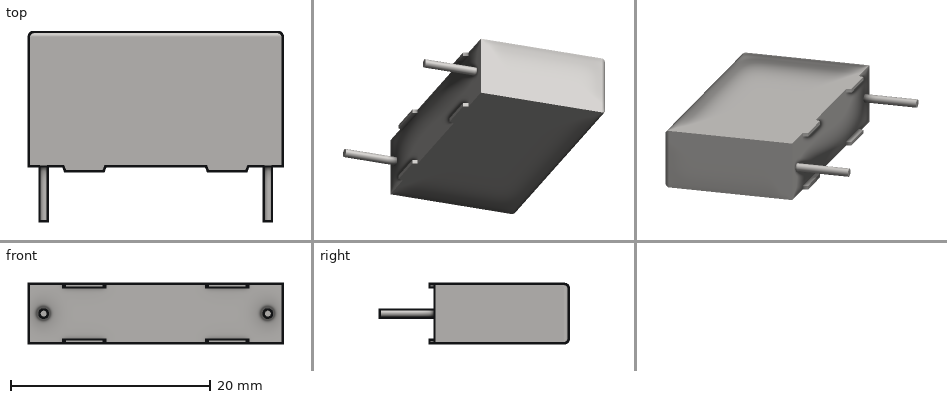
import cadquery as cq

CASE_LENGTH = 25.5
CASE_HEIGHT = 6.0
OVERALL_DEPTH = 19.0
LEAD_PROTRUSION = 5.5
CASE_DEPTH = OVERALL_DEPTH - LEAD_PROTRUSION

BACK_FILLET = 0.5

TAB_SPACING = 14.33
TAB_ROOT_WIDTH = 4.23
TAB_TIP_WIDTH = 3.88
TAB_PROTRUSION = 0.5
TAB_THICKNESS = 0.38

LEAD_PITCH = 22.5
LEAD_DIAMETER = 0.85


def make_tab(center_x, bottom_z):
    """Flat standoff tab, a trapezoid narrowing away from the front face at Y = 0."""
    half_root = TAB_ROOT_WIDTH / 2
    half_tip = TAB_TIP_WIDTH / 2
    return (
        cq.Workplane("XY", origin=(center_x, 0, bottom_z))
        .moveTo(-half_root, 0)
        .lineTo(-half_tip, -TAB_PROTRUSION)
        .lineTo(half_tip, -TAB_PROTRUSION)
        .lineTo(half_root, 0)
        .close()
        .extrude(TAB_THICKNESS)
    )


def make_case():
    """Box with a rounded back face and four standoff tabs at the front."""
    case = (
        cq.Workplane("XY")
        .box(CASE_LENGTH, CASE_DEPTH, CASE_HEIGHT, centered=(True, False, True))
        .faces(">Y")
        .edges()
        .fillet(BACK_FILLET)
    )
    lower_tab_z = -CASE_HEIGHT / 2
    upper_tab_z = CASE_HEIGHT / 2 - TAB_THICKNESS
    for center_x in (-TAB_SPACING / 2, TAB_SPACING / 2):
        for bottom_z in (lower_tab_z, upper_tab_z):
            case = case.union(make_tab(center_x, bottom_z))
    return case


def make_lead(center_x):
    """Round wire standing straight out of the front face, halfway up the case."""
    return (
        cq.Workplane("XZ", origin=(center_x, 0, 0))
        .circle(LEAD_DIAMETER / 2)
        .extrude(LEAD_PROTRUSION)
    )


case = make_case()
leads = [make_lead(center_x) for center_x in (-LEAD_PITCH / 2, LEAD_PITCH / 2)]

result = cq.Compound.makeCompound([case.val(), *[lead.val() for lead in leads]])